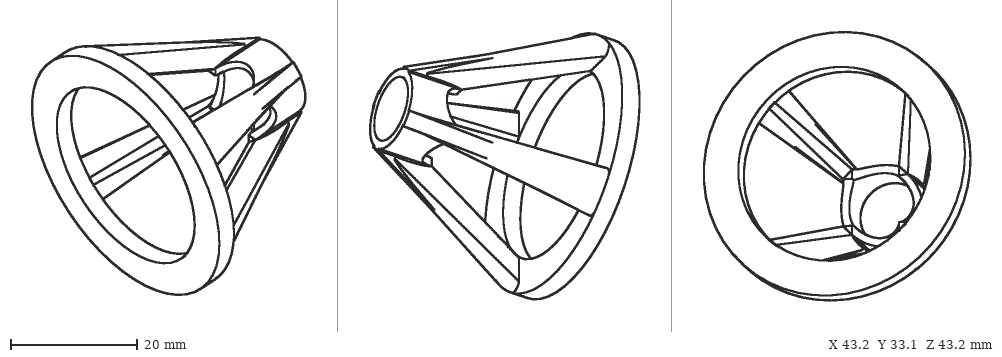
import cadquery as cq
import math

total_length = 33.05
ring_diameter = 43.2
ring_bore = 31.75
ring_thickness = 3.2

hub_diameter = 13.3
hub_bore = 10.62
hub_length = 9.75
window_crown_depth = 6.4
window_width = 7.77

leg_count = 4
first_leg_angle = 45

flare_tip_y = total_length - 3.1
rib_foot_depth = 17.27

rib_half_width = 1.35
rib_top_radius = 6.82
rib_slope = 0.48
rib_top_inner = 4.3
rib_foot_inner = 12.1

tip_outer = (8.25, 0.15)
tip_shoulder = (8.0, 0.9)
tip_flank = (7.25, 1.4)
tip_inner = (3.4, 1.2)
foot_half_width = 3.02
ring_radius = ring_diameter / 2
foot_outer = (math.sqrt(ring_radius**2 - foot_half_width**2), foot_half_width)
foot_shoulder = (20.55, 3.9)
foot_flank = (19.2, 3.9)
foot_inner = (15.95, 0.65)


def ring_band(y_start, length, outer_diameter, bore):
    """Plain tube along +Y."""
    plane = cq.Workplane("XZ", origin=(0, y_start, 0))
    return plane.circle(outer_diameter / 2).circle(bore / 2).extrude(-length)


def mirrored(point):
    return (point[0], -point[1])


def flare_section(y, outer, shoulder, flank, inner, crown):
    """Wedge with rounded shoulders and a crowned outer face."""
    return (
        cq.Workplane("XZ", origin=(0, y, 0))
        .moveTo(*inner)
        .lineTo(*flank)
        .threePointArc(shoulder, outer)
        .threePointArc((crown, 0), mirrored(outer))
        .threePointArc(mirrored(shoulder), mirrored(flank))
        .lineTo(*mirrored(inner))
        .close()
        .val()
    )


def rib_section(y, inner, outer):
    return (
        cq.Workplane("XZ", origin=(0, y, 0))
        .moveTo(inner, -rib_half_width)
        .lineTo(outer, -rib_half_width)
        .lineTo(outer, rib_half_width)
        .lineTo(inner, rib_half_width)
        .close()
        .val()
    )


def make_leg():
    """One leg leaning outward along +X, from the hub end to the ring."""
    tip_crown = math.hypot(*tip_outer)
    flare_tip = flare_section(flare_tip_y, tip_outer, tip_shoulder, tip_flank, tip_inner, tip_crown)
    flare_foot = flare_section(
        ring_thickness, foot_outer, foot_shoulder, foot_flank, foot_inner, ring_radius
    )
    flare = cq.Solid.makeLoft([flare_tip, flare_foot], True)

    rib_foot_outer = rib_top_radius + rib_slope * rib_foot_depth
    rib_top = rib_section(total_length, rib_top_inner, rib_top_radius)
    rib_foot = rib_section(total_length - rib_foot_depth, rib_foot_inner, rib_foot_outer)
    rib = cq.Solid.makeLoft([rib_top, rib_foot], True)
    return cq.Workplane(flare).union(cq.Workplane(rib))


def make_hub():
    """Hub tube with an arched window centred on each of the X and Z directions."""
    hub_foot_y = total_length - hub_length
    arch_y = total_length - window_crown_depth - window_width / 2
    arch_centre = (0, arch_y, 0)
    hub = ring_band(hub_foot_y, hub_length, hub_diameter, hub_bore)
    for plane in ("XY", "YZ"):
        arch = cq.Workplane(plane, origin=arch_centre).circle(window_width / 2)
        hub = hub.cut(arch.extrude(hub_diameter, both=True))
    return hub


legs = cq.Workplane()
leg = make_leg()
for index in range(leg_count):
    angle = first_leg_angle + index * 360 / leg_count
    legs = legs.add(leg.rotate((0, 0, 0), (0, 1, 0), angle))
legs = legs.combine()
lane_x = cq.Workplane().box(window_width, 2 * total_length, 2 * ring_diameter)
lane_z = cq.Workplane().box(2 * ring_diameter, 2 * total_length, window_width)
legs = legs.cut(lane_x).cut(lane_z)

ring = ring_band(0, ring_thickness, ring_diameter, ring_bore)
result = ring.union(make_hub()).union(legs)